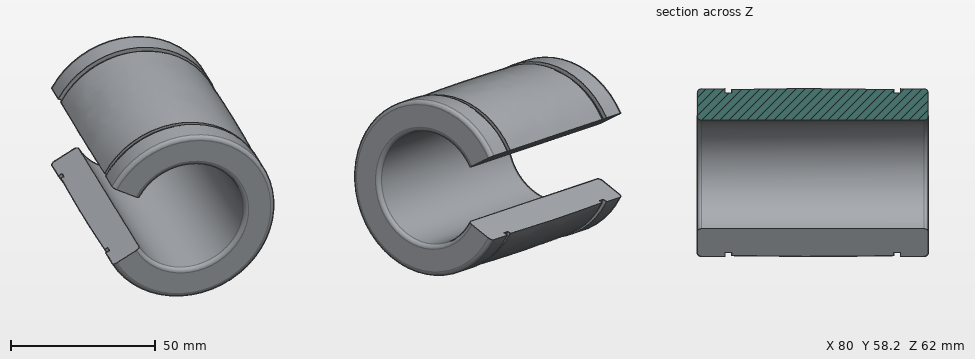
import cadquery as cq
import math

length = 80.0
outer_radius = 62.0 / 2
bore_radius = 20.0
slot_angle = 57.6

groove_depth = 1.5
groove_width = 2.2
groove_offset = 9.7

barrel_drop = 0.3

edge_round = 1.5

clearance = 0.8

half_length = length / 2
groove_outer_x = half_length - groove_offset
groove_inner_x = groove_outer_x - groove_width
groove_radius = outer_radius - groove_depth
barrel_end_radius = outer_radius - barrel_drop


def make_sleeve():
    """Plain tube with rounded rims along the X axis."""
    tube = (
        cq.Workplane("YZ")
        .circle(outer_radius)
        .circle(bore_radius)
        .extrude(half_length, both=True)
    )
    return tube.faces("<X or >X").edges().fillet(edge_round)


def make_surface_cut():
    """Ring removed from the outside: two grooves joined by the barrel relief."""
    clear_radius = outer_radius + clearance
    return (
        cq.Workplane("XY")
        .moveTo(-groove_outer_x, clear_radius)
        .lineTo(-groove_outer_x, groove_radius)
        .lineTo(-groove_inner_x, groove_radius)
        .lineTo(-groove_inner_x, barrel_end_radius)
        .threePointArc((0, outer_radius), (groove_inner_x, barrel_end_radius))
        .lineTo(groove_inner_x, groove_radius)
        .lineTo(groove_outer_x, groove_radius)
        .lineTo(groove_outer_x, clear_radius)
        .close()
        .revolve(360, (0, 0, 0), (1, 0, 0))
    )


def make_slot():
    """Wedge from the axis that opens the sleeve towards -Y."""
    reach = 2 * outer_radius
    half_width = reach * math.tan(math.radians(slot_angle / 2))
    return (
        cq.Workplane("YZ")
        .polyline([(0, 0), (-reach, half_width), (-reach, -half_width)])
        .close()
        .extrude(length, both=True)
    )


result = make_sleeve().cut(make_surface_cut()).cut(make_slot())